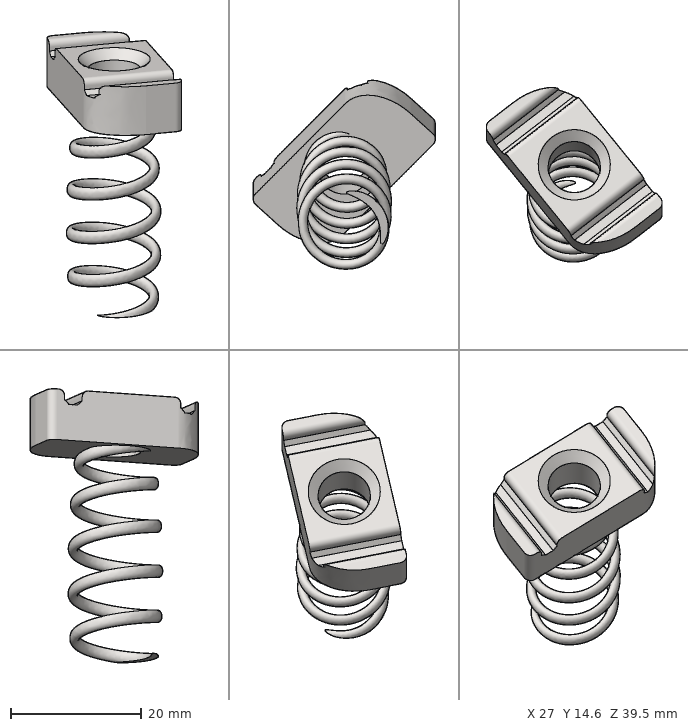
import cadquery as cq
import math

block_length = 26.97
block_width = 14.27
block_height = 7.9
small_corner_radius = 1.2
large_corner_x = 5.7
large_corner_y = 8.36

hole_diameter = 8.0
countersink_diameter = 11.05
countersink_depth = 1.5

groove_centre_x = 9.6
groove_width = 2.9
groove_floor_width = 1.4
groove_depth = 2.3
groove_wall_depth = 1.6
lip_radius = 1.0

wire_height = 1.95
wire_thickness = 1.48
spring_length = 31.63
spring_centre_x = 0.13
spring_centre_y = -0.13
widest_outer_radius = 7.29
widest_depth = 19.3
widest_pitch = 7.07
widest_angle = -62.0
barrel_curvature = 0.0031
turns_above_widest = 3.1
turns_below_widest = 2.1
points_per_turn = 16


def make_outline():
    half_length = block_length / 2
    half_width = block_width / 2
    return (
        cq.Workplane("XY")
        .moveTo(-half_length + small_corner_radius, -half_width)
        .lineTo(half_length - large_corner_x, -half_width)
        .ellipseArc(large_corner_x, large_corner_y, 270, 360, startAtCurrent=True)
        .lineTo(half_length, half_width - small_corner_radius)
        .radiusArc((half_length - small_corner_radius, half_width), -small_corner_radius)
        .lineTo(-half_length + large_corner_x, half_width)
        .ellipseArc(large_corner_x, large_corner_y, 90, 180, startAtCurrent=True)
        .lineTo(-half_length, -half_width + small_corner_radius)
        .radiusArc((-half_length + small_corner_radius, -half_width), -small_corner_radius)
        .close()
    )


def make_groove(centre_x):
    half_wall = groove_width / 2
    half_floor = groove_floor_width / 2
    half_mouth = half_wall + lip_radius
    lip_z = block_height - lip_radius
    bevel_z = block_height - groove_wall_depth
    floor_z = block_height - groove_depth
    return (
        cq.Workplane("XZ")
        .moveTo(centre_x - half_mouth, block_height)
        .radiusArc((centre_x - half_wall, lip_z), lip_radius)
        .lineTo(centre_x - half_wall, bevel_z)
        .lineTo(centre_x - half_floor, floor_z)
        .lineTo(centre_x + half_floor, floor_z)
        .lineTo(centre_x + half_wall, bevel_z)
        .lineTo(centre_x + half_wall, lip_z)
        .radiusArc((centre_x + half_mouth, block_height), lip_radius)
        .close()
        .extrude(block_width, both=True)
    )


def make_countersunk_hole():
    hole_radius = hole_diameter / 2
    countersink_z = block_height - countersink_depth
    return (
        cq.Workplane("XZ")
        .lineTo(hole_radius, 0)
        .lineTo(hole_radius, countersink_z)
        .lineTo(countersink_diameter / 2, block_height)
        .lineTo(0, block_height)
        .close()
        .revolve(360, (0, 0), (0, 1))
    )


def make_block():
    block = make_outline().extrude(block_height)
    for side in (-1, 1):
        block = block.cut(make_groove(side * groove_centre_x))
    return block.cut(make_countersunk_hole())


def wire_centre(turns):
    """Point on the wire's centreline, a number of turns below the widest coil.

    The coil radius falls off as a parabola. At a constant lead angle the pitch shrinks
    with the radius, which makes the depth a hyperbolic tangent of the turns.
    """
    widest_radius = widest_outer_radius - wire_thickness / 2
    depth_scale = math.sqrt(widest_radius / barrel_curvature)
    offset = depth_scale * math.tanh(widest_pitch * turns / depth_scale)
    radius = widest_radius - barrel_curvature * offset**2
    angle = math.radians(widest_angle - 360 * turns)
    return cq.Vector(
        spring_centre_x + radius * math.cos(angle),
        spring_centre_y + radius * math.sin(angle),
        -(widest_depth + offset),
    )


def make_spring():
    total_turns = turns_above_widest + turns_below_widest
    steps = math.ceil(points_per_turn * total_turns)
    step_turns = total_turns / steps
    points = [wire_centre(-turns_above_widest + i * step_turns) for i in range(steps + 1)]
    centreline = cq.Edge.makeSpline(points)
    start_plane = cq.Plane(
        origin=centreline.startPoint(),
        xDir=(0, 0, 1),
        normal=centreline.tangentAt(0),
    )
    wire = (
        cq.Workplane(start_plane)
        .ellipse(wire_height / 2, wire_thickness / 2)
        .sweep(cq.Workplane(cq.Wire.assembleEdges([centreline])), isFrenet=True)
    )
    envelope = (
        cq.Workplane("XY")
        .workplane(offset=-spring_length)
        .circle(2 * widest_outer_radius)
        .extrude(spring_length + block_height)
    )
    return wire.intersect(envelope)


result = make_block().union(make_spring())